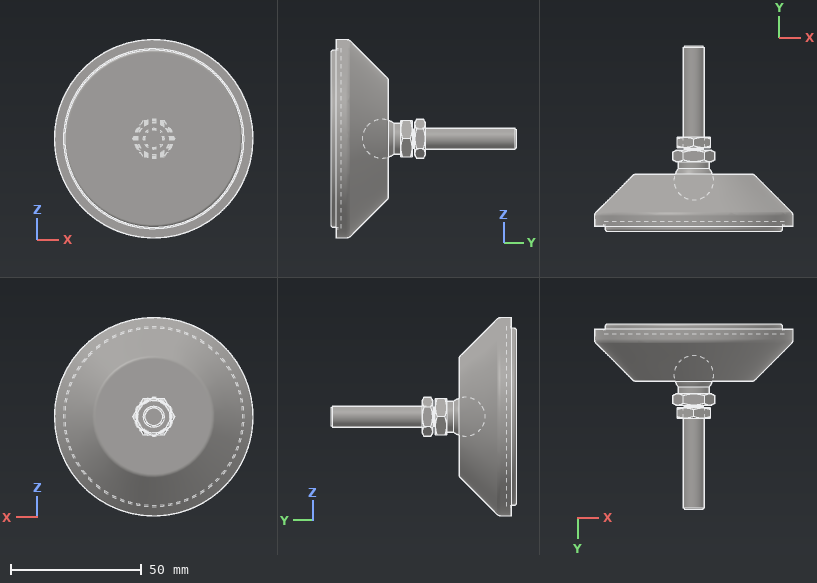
import cadquery as cq
import math


pad_radius = 34.0
pad_height = 3.95
pad_fillet = 1.0

housing_bottom = 2.0
housing_top = 22.05
housing_radius = 38.0
housing_shoulder = 6.9
housing_fillet = 2.0
recess_radius = 34.5
housing_top_radius = housing_radius - (housing_top - housing_shoulder)

ball_radius = 7.5
ball_center = 19.6
collar_radius = 6.0
hex_bottom = 26.7
hex_top = 31.15
hex_flats = 14.0
hex_face_radius = 6.8
stud_radius = 4.0
stud_top = 71.05
stud_chamfer = 0.7
groove_depth = 0.45
groove_half_width = 0.45

nut_bottom = 32.1
nut_top = 36.2
nut_flats = 13.0
nut_face_radius = 6.2

hex_chamfer_angle = 30.0
corner_ratio = 2 / math.sqrt(3)


def revolve_y(profile):
    """Turn a closed (radius, Y) profile about the Y axis."""
    return profile.close().revolve(360, (0, 0, 0), (0, 1, 0))


def cylinder_y(radius, bottom, top):
    profile = cq.Workplane("XY").moveTo(0, bottom).lineTo(radius, bottom).lineTo(radius, top).lineTo(0, top)
    return revolve_y(profile)


def hexagon_y(flats, face_radius, bottom, top, turn):
    """Hexagon along Y with conical chamfers at both ends; turn is about the Y axis."""
    corner_radius = flats * corner_ratio / 2
    chamfer = (corner_radius - face_radius) * math.tan(math.radians(hex_chamfer_angle))
    prism = (
        cq.Workplane("XZ", origin=(0, bottom, 0))
        .polygon(6, 2 * corner_radius)
        .extrude(bottom - top)
        .rotate((0, 0, 0), (0, 1, 0), turn)
    )
    envelope = revolve_y(
        cq.Workplane("XY")
        .moveTo(0, bottom)
        .lineTo(face_radius, bottom)
        .lineTo(corner_radius, bottom + chamfer)
        .lineTo(corner_radius, top - chamfer)
        .lineTo(face_radius, top)
        .lineTo(0, top)
    )
    return prism.intersect(envelope)


def make_ball():
    """Whole ball, used to hollow out its socket."""
    return revolve_y(
        cq.Workplane("XY")
        .moveTo(0, ball_center - ball_radius)
        .threePointArc((ball_radius, ball_center), (0, ball_center + ball_radius))
    )


def make_pad():
    return cylinder_y(pad_radius, 0, pad_height).faces("<Y").edges().fillet(pad_fillet)


def make_housing():
    body = revolve_y(
        cq.Workplane("XY")
        .moveTo(0, housing_bottom)
        .lineTo(housing_radius, housing_bottom)
        .lineTo(housing_radius, housing_shoulder)
        .lineTo(housing_top_radius, housing_top)
        .lineTo(0, housing_top)
    )
    cone_ends = body.faces("%CONE").edges("%CIRCLE")
    body = cone_ends.fillet(housing_fillet)
    pad_recess = cylinder_y(recess_radius, housing_bottom, pad_height)
    return body.cut(pad_recess).cut(make_ball())


def make_spindle():
    neck_top = ball_center + math.sqrt(ball_radius**2 - collar_radius**2)
    core = revolve_y(
        cq.Workplane("XY")
        .moveTo(0, ball_center - ball_radius)
        .threePointArc((ball_radius, ball_center), (collar_radius, neck_top))
        .lineTo(collar_radius, hex_bottom)
        .lineTo(stud_radius, hex_bottom)
        .lineTo(stud_radius, hex_top)
        .lineTo(stud_radius - groove_depth, hex_top + groove_half_width)
        .lineTo(stud_radius, hex_top + 2 * groove_half_width)
        .lineTo(stud_radius, stud_top - stud_chamfer)
        .lineTo(stud_radius - stud_chamfer, stud_top)
        .lineTo(0, stud_top)
    )
    wrench_hex = hexagon_y(hex_flats, hex_face_radius, hex_bottom, hex_top, 0)
    return core.union(wrench_hex)


def make_nut():
    nut = hexagon_y(nut_flats, nut_face_radius, nut_bottom, nut_top, 30)
    return nut.cut(cylinder_y(stud_radius, nut_bottom, nut_top))


pad = make_pad()
housing = make_housing()
spindle = make_spindle()
nut = make_nut()

result = cq.Compound.makeCompound([pad.val(), housing.val(), spindle.val(), nut.val()])